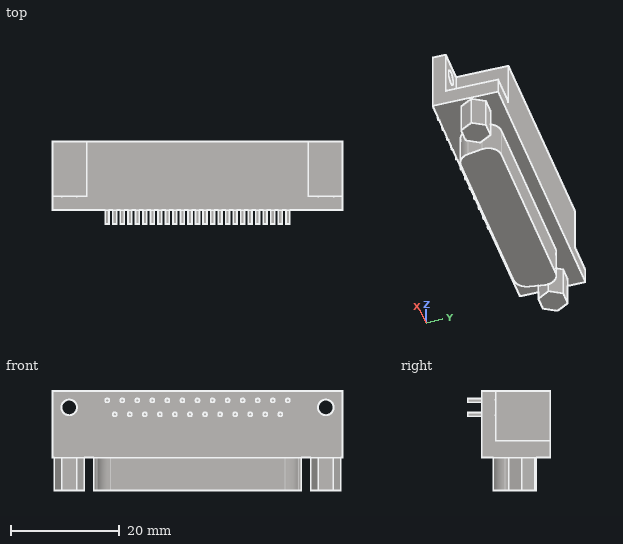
import cadquery as cq
import math

width = 53.45
total_depth = 15.25
total_height = 18.4

mating_height = 6.1
pin_length = 2.55
plate_thickness = 2.55
floor_thickness = 3.1
ear_width = 6.3
body_depth = total_depth - pin_length
body_height = total_height - mating_height

mount_spacing = 47.25
hole_diameter = 2.85
hole_drop = 3.05
hex_sides = 6
post_across_flats = 4.8
post_from_back = 5.3

shell_width = 38.25
shell_depth = 7.95
shell_from_back = 2.55
shell_radius = 2.55
shell_side_angle = 10.0

pin_diameter = 0.75
long_row_count = 13
long_row_span = 33.25
pin_pitch = long_row_span / (long_row_count - 1)
long_row_drop = 1.75
row_gap = 2.55

mount_xs = (-mount_spacing / 2, mount_spacing / 2)


def make_housing():
    """L-shaped bracket with a full-height block between its two ears."""
    bracket_profile = [
        (0, 0),
        (body_depth, 0),
        (body_depth, floor_thickness),
        (plate_thickness, floor_thickness),
        (plate_thickness, body_height),
        (0, body_height),
    ]
    bracket = cq.Workplane("YZ").polyline(bracket_profile).close().extrude(width / 2, both=True)
    block = cq.Workplane("XY").box(
        width - 2 * ear_width, body_depth, body_height, centered=(True, False, False)
    )
    return bracket.union(block)


def make_mounting_holes():
    """Cylinders that cut through the plate in front of each ear."""
    hole_z = body_height - hole_drop
    return (
        cq.Workplane("XZ")
        .pushPoints([(x, hole_z) for x in mount_xs])
        .circle(hole_diameter / 2)
        .extrude(-plate_thickness)
    )


def make_shell():
    """D-shaped shell below the housing, all four corners rounded alike."""
    angle = math.radians(shell_side_angle)
    back_y = body_depth - shell_from_back
    front_y = back_y - shell_depth
    arc_center_x = shell_width / 2 - shell_radius
    back_half = arc_center_x + shell_radius * (1 + math.sin(angle)) / math.cos(angle)
    front_half = back_half - shell_depth * math.tan(angle)
    outline = [
        (-back_half, back_y),
        (back_half, back_y),
        (front_half, front_y),
        (-front_half, front_y),
    ]
    shell = cq.Workplane("XY").polyline(outline).close().extrude(-mating_height)
    return shell.edges("|Z").fillet(shell_radius)


def make_posts():
    """Hex jack posts with corners pointing along X."""
    across_corners = post_across_flats / math.cos(math.pi / hex_sides)
    post_y = body_depth - post_from_back
    return (
        cq.Workplane("XY")
        .pushPoints([(x, post_y) for x in mount_xs])
        .polygon(hex_sides, across_corners)
        .extrude(-mating_height)
    )


def make_pin_row(count, drop):
    """One centred row of round pins standing out of the plate face."""
    return (
        cq.Workplane("XZ")
        .center(0, body_height - drop)
        .rarray(pin_pitch, 0.55, count, 1)
        .circle(pin_diameter / 2)
        .extrude(pin_length)
    )


result = (
    make_housing()
    .cut(make_mounting_holes())
    .union(make_shell())
    .union(make_posts())
    .union(make_pin_row(long_row_count, long_row_drop))
    .union(make_pin_row(long_row_count - 1, long_row_drop + row_gap))
)